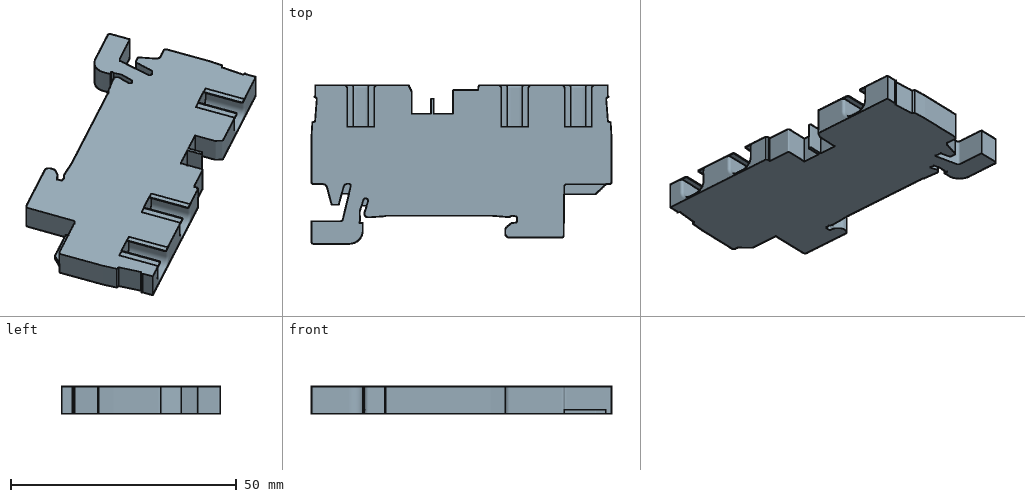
import cadquery as cq
import math

LENGTH = 66.5
HEIGHT = 35.2
THICKNESS = 6.1

FOOT_TOP = 5.05
BELLY = 6.25
TOOTH_TIP = 8.65
SHOULDER = 13.25
RIGHT_FOOT = 1.4
TAPER_START = 23.7
GAP_FLOOR = 28.85
LEDGE = 34.1

GAP_LEFT = 22.3
GAP_RIGHT = 31.3
LEDGE_END = 36.9
RIGHT_WALL = 56.0

CORNER_RADIUS = 0.5

END_STEPS = [(0.0, TAPER_START), (0.2, 26.9), (0.8, 27.1), (1.2, 32.25), (0.65, 32.6), (0.85, 32.8), (0.85, HEIGHT)]

WEB_THICKNESS = 0.9
FOOT_SLOT_WEB = (6.0, 11.1, 9.3, SHOULDER + 0.3)
HOOK_SLOT_WEB = (10.65, 8.45, 13.0, 10.3)
CORNER_WEB_BOTTOM = 11.0
CORNER_WEB_TIP = 62.9
CORNER_WEB_ROOT = 65.25

PIN_LEFT = 26.5
PIN_WIDTH = 0.65
PIN_TOP = 32.2
PIN_TIP_RADIUS = 0.2

POCKET_LEFTS = (9.25, 43.35, 57.4)
OPENING_WIDTH = 3.4
LIP_REACH = 1.3
LIP_THICKNESS = 0.2
CHANNEL_END = 25.95
CHANNEL_WIDTH = OPENING_WIDTH + 2 * LIP_REACH
CHANNEL_LENGTH = HEIGHT - CHANNEL_END
CHANNEL_FLOOR_WIDTH = 1.8
CHANNEL_CORNER_RADIUS = (CHANNEL_WIDTH - CHANNEL_FLOOR_WIDTH) / 2
CHANNEL_FLOOR = 0.65
ENTRY_RADIUS = 0.6
LIP_CORNER_RADIUS = 0.25


def rounded_wire(corners):
    """Closed XY outline through (x, y, radius) corners, each corner rounded by a tangent arc."""
    pieces = []
    for index, (x, y, radius) in enumerate(corners):
        corner = cq.Vector(x, y)
        before = cq.Vector(*corners[index - 1][:2])
        after = cq.Vector(*corners[(index + 1) % len(corners)][:2])
        to_before = (before - corner).normalized()
        to_after = (after - corner).normalized()
        half_angle = to_before.getAngle(to_after) / 2
        tangent_length = radius / math.tan(half_angle)
        arc_depth = radius / math.sin(half_angle) - radius
        bisector = (to_before + to_after).normalized()
        start = corner + to_before * tangent_length
        middle = corner + bisector * arc_depth
        end = corner + to_after * tangent_length
        pieces.append((start, middle, end, radius))

    first = pieces[0][0]
    path = cq.Workplane("XY").moveTo(first.x, first.y)
    for index, (start, middle, end, radius) in enumerate(pieces):
        if index > 0:
            path = path.lineTo(start.x, start.y)
        if radius > 0:
            path = path.threePointArc((middle.x, middle.y), (end.x, end.y))
    return path.close()


def body():
    left_foot = [
        (0, FOOT_TOP, 0),
        (0, 0, CORNER_RADIUS),
        (11.45, 0, 3.05),
        (11.45, 4.65, 0),
        (10.65, 4.65, 0),
        (10.85, 5.3, 0),
        (10.7, 7.1, 2.0),
    ]
    hook_slot = [
        (11.65, 10.1, 0.5),
        (12.8, 10.1, 0.5),
        (11.4, 5.8, 0.85),
        (16.3, 6.1, 0),
        (16.5, BELLY, 0),
    ]
    right_foot = [
        (39.65, BELLY, 0),
        (43.8, 5.9, 0),
        (44.4, BELLY, 0),
        (45.5, 6.05, 0.2),
        (45.5, 4.8, 0.25),
        (44.3, 4.65, 0.25),
        (42.9, 3.45, 1.0),
        (42.9, RIGHT_FOOT, 1.0),
        (RIGHT_WALL - 0.05, RIGHT_FOOT, CORNER_RADIUS),
        (RIGHT_WALL, SHOULDER, CORNER_RADIUS),
        (LENGTH, SHOULDER, CORNER_RADIUS),
    ]
    right_end = [(LENGTH - inset, y, 0) for inset, y in END_STEPS]
    top_edge = [
        (37.2, HEIGHT, 0),
        (LEDGE_END, 34.7, 0),
        (LEDGE_END, LEDGE, 0),
        (GAP_RIGHT, LEDGE, 0.25),
        (GAP_RIGHT, GAP_FLOOR, 0),
        (GAP_LEFT, GAP_FLOOR, 0),
        (GAP_LEFT, 33.7, 0.3),
        (21.55, HEIGHT, 0.3),
    ]
    left_end = [(inset, y, 0) for inset, y in reversed(END_STEPS)]
    foot_slot = [
        (0, SHOULDER, CORNER_RADIUS),
        (3.25, SHOULDER, 0.9),
        (4.49, TOOTH_TIP, 0.4),
        (6.085, TOOTH_TIP, 0.4),
        (7.3, 13.3, 0.7),
        (8.85, 13.3, 0.4),
        (6.85, FOOT_TOP, CORNER_RADIUS),
    ]
    corners = left_foot + hook_slot + right_foot + right_end + top_edge + left_end + foot_slot
    return rounded_wire(corners).extrude(THICKNESS)


def slot_web(x0, y0, x1, y1):
    return cq.Workplane("XY").box(x1 - x0, y1 - y0, WEB_THICKNESS, centered=False).translate((x0, y0, 0))


def corner_web():
    overlap = 0.65
    corners = [
        (RIGHT_WALL - overlap, CORNER_WEB_BOTTOM, 0),
        (CORNER_WEB_TIP, CORNER_WEB_BOTTOM, 0.3),
        (CORNER_WEB_ROOT, SHOULDER, 0),
        (CORNER_WEB_ROOT, SHOULDER + overlap, 0),
        (RIGHT_WALL - overlap, SHOULDER + overlap, 0),
    ]
    return rounded_wire(corners).extrude(WEB_THICKNESS)


def pin():
    right = PIN_LEFT + PIN_WIDTH
    root = GAP_FLOOR - 0.65
    corners = [
        (PIN_LEFT, root, 0),
        (right, root, 0),
        (right, PIN_TOP, PIN_TIP_RADIUS),
        (PIN_LEFT, PIN_TOP, PIN_TIP_RADIUS),
    ]
    return rounded_wire(corners).extrude(THICKNESS)


def cut_channel(solid, left):
    """Cut one channel and round its rim where it breaks out through the top edge."""
    depth = THICKNESS - CHANNEL_FLOOR
    channel = (
        cq.Workplane("XY")
        .box(CHANNEL_WIDTH, CHANNEL_LENGTH, depth, centered=False)
        .edges("|Y and <Z")
        .fillet(CHANNEL_CORNER_RADIUS)
        .translate((left, CHANNEL_END, CHANNEL_FLOOR))
    )
    margin = 0.05
    rim = cq.selectors.BoxSelector(
        (left - margin, HEIGHT - margin, CHANNEL_FLOOR - margin),
        (left + CHANNEL_WIDTH + margin, HEIGHT + margin, THICKNESS - margin),
    )
    return solid.cut(channel).edges(rim).fillet(ENTRY_RADIUS)


def lip(root, tip):
    """Thin lip over a channel, from its root inside the wall to its free side."""
    outline = [
        (root, CHANNEL_END, 0),
        (tip, CHANNEL_END, 0),
        (tip, HEIGHT, LIP_CORNER_RADIUS),
        (root, HEIGHT, 0),
    ]
    return rounded_wire(outline).extrude(LIP_THICKNESS).translate((0, 0, THICKNESS - LIP_THICKNESS))


def add_pocket(solid, opening_left):
    opening_right = opening_left + OPENING_WIDTH
    lip_length = LIP_REACH + ENTRY_RADIUS
    solid = cut_channel(solid, opening_left - LIP_REACH)
    solid = solid.union(lip(opening_left - lip_length, opening_left))
    return solid.union(lip(opening_right + lip_length, opening_right))


result = body().union(pin()).union(corner_web())
for web in (FOOT_SLOT_WEB, HOOK_SLOT_WEB):
    result = result.union(slot_web(*web))
for pocket_left in POCKET_LEFTS:
    result = add_pocket(result, pocket_left)